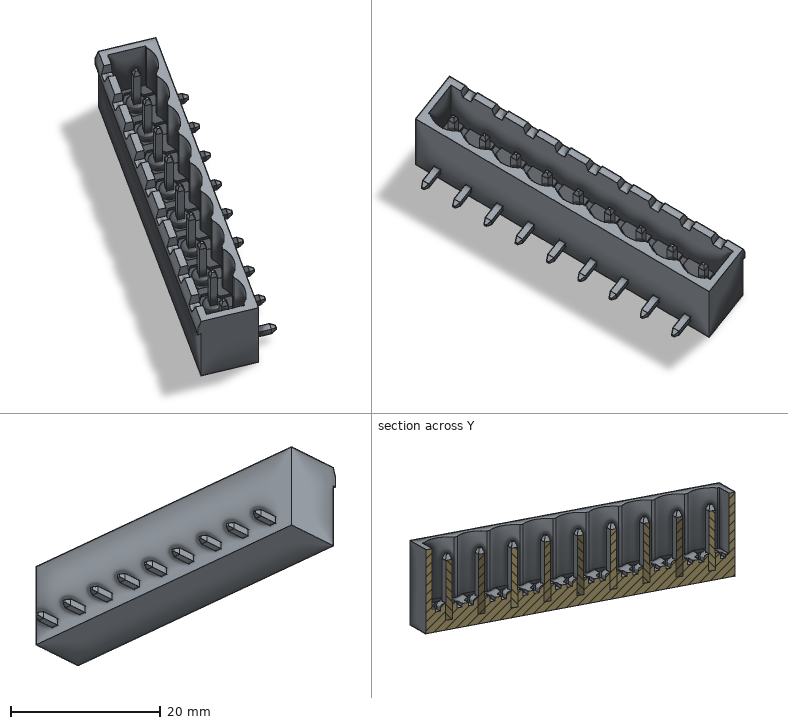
import cadquery as cq

POLES = 9
POLE_SPAN = 40.65
PITCH = POLE_SPAN / (POLES - 1)
POLE_XS = [i * PITCH - POLE_SPAN / 2 for i in range(POLES)]

LENGTH = 47.7
DEPTH = 8.05
HEIGHT = 12.0

RAIL_PROJECTION = 0.45
RAIL_HEIGHT = 2.75
RAIL_BEVEL_HEIGHT = 1.35

END_WALL = 0.95
FRONT_WALL = 1.05
BACK_WALL = 0.85
SCALLOP_RISE = 0.85
SCALLOP_WIDTH = 4.6
FLOOR_Z = 3.4

NOTCH_TOP_WIDTH = 1.95
NOTCH_FLOOR_WIDTH = 1.3
NOTCH_DEPTH = RAIL_BEVEL_HEIGHT

RECESS_DEPTH = 0.5
RECESS_WIDTH = 4.05
RECESS_SIDE_BACK = 0.55
RECESS_SIDE_FRONT = 1.05
BACK_CHANNEL_HALF_WIDTH = 1.05
BACK_CHANNEL_START = 1.4
FRONT_CHANNEL_HALF_WIDTH = 0.5
FRONT_CHANNEL_START = 1.9

BOSS_DIAMETER = 2.75
BOSS_ROUNDING = 0.5
BOSS_HEIGHT = 0.95

PIN_WIDTH = 1.0
PIN_Y = 4.25
PIN_TAIL_Z = 1.95
PIN_TOP_Z = 10.7
PIN_TAIL_LENGTH = 3.5
PIN_TAPER = 0.75
PIN_TIP_WIDTH = 0.4

CAVITY_FRONT_Y = FRONT_WALL
CAVITY_BACK_Y = DEPTH - BACK_WALL
SCALLOP_BASE_Y = CAVITY_BACK_Y - SCALLOP_RISE
CAVITY_HALF_LENGTH = LENGTH / 2 - END_WALL
RECESS_Z = FLOOR_Z - RECESS_DEPTH
PIN_TAIL_Y = DEPTH + PIN_TAIL_LENGTH


def make_block():
    """Housing block with its bevelled latching rail, as one side profile."""
    profile = [
        (0, 0),
        (DEPTH, 0),
        (DEPTH, HEIGHT),
        (0, HEIGHT),
        (-RAIL_PROJECTION, HEIGHT - RAIL_BEVEL_HEIGHT),
        (-RAIL_PROJECTION, HEIGHT - RAIL_HEIGHT),
        (0, HEIGHT - RAIL_HEIGHT),
    ]
    return cq.Workplane("YZ").polyline(profile).close().extrude(LENGTH / 2, both=True)


def make_cavity():
    """Open-topped cavity whose back wall has one shallow arc per pole."""
    sketch = (
        cq.Workplane("XY", origin=(0, 0, FLOOR_Z))
        .moveTo(-CAVITY_HALF_LENGTH, CAVITY_FRONT_Y)
        .lineTo(-CAVITY_HALF_LENGTH, SCALLOP_BASE_Y)
    )
    for x in POLE_XS:
        sketch = sketch.lineTo(x - SCALLOP_WIDTH / 2, SCALLOP_BASE_Y).threePointArc(
            (x, CAVITY_BACK_Y), (x + SCALLOP_WIDTH / 2, SCALLOP_BASE_Y)
        )
    sketch = sketch.lineTo(CAVITY_HALF_LENGTH, SCALLOP_BASE_Y).lineTo(CAVITY_HALF_LENGTH, CAVITY_FRONT_Y)
    return sketch.close().extrude(HEIGHT - FLOOR_Z)


def make_notch(x):
    """Tapered notch through the front wall and the rail."""
    profile = [
        (x - NOTCH_TOP_WIDTH / 2, HEIGHT),
        (x + NOTCH_TOP_WIDTH / 2, HEIGHT),
        (x + NOTCH_FLOOR_WIDTH / 2, HEIGHT - NOTCH_DEPTH),
        (x - NOTCH_FLOOR_WIDTH / 2, HEIGHT - NOTCH_DEPTH),
    ]
    return (
        cq.Workplane("XZ", origin=(0, CAVITY_FRONT_Y, 0))
        .polyline(profile)
        .close()
        .extrude(CAVITY_FRONT_Y + RAIL_PROJECTION)
    )


def make_floor_recess(x):
    """Eight-sided floor recess with a channel to the back wall and one to the front wall."""
    right_side = [
        (FRONT_CHANNEL_HALF_WIDTH, CAVITY_FRONT_Y),
        (FRONT_CHANNEL_HALF_WIDTH, PIN_Y - FRONT_CHANNEL_START),
        (RECESS_WIDTH / 2, PIN_Y - RECESS_SIDE_FRONT),
        (RECESS_WIDTH / 2, PIN_Y + RECESS_SIDE_BACK),
        (BACK_CHANNEL_HALF_WIDTH, PIN_Y + BACK_CHANNEL_START),
        (BACK_CHANNEL_HALF_WIDTH, CAVITY_BACK_Y),
    ]
    left_side = [(-dx, y) for dx, y in reversed(right_side)]
    outline = [(x + dx, y) for dx, y in right_side + left_side]
    return cq.Workplane("XY", origin=(0, 0, RECESS_Z)).polyline(outline).close().extrude(RECESS_DEPTH)


def make_boss(x):
    """Round boss with a rounded rim, standing on the recess floor."""
    return (
        cq.Workplane("XY", origin=(x, PIN_Y, RECESS_Z))
        .circle(BOSS_DIAMETER / 2)
        .extrude(BOSS_HEIGHT)
        .faces(">Z")
        .edges()
        .fillet(BOSS_ROUNDING)
    )


def make_tip(plane):
    """Four-sided taper from the full pin section down to the tip."""
    return (
        plane.rect(PIN_WIDTH, PIN_WIDTH)
        .workplane(offset=PIN_TAPER)
        .rect(PIN_TIP_WIDTH, PIN_TIP_WIDTH)
        .loft()
    )


def make_pin(x):
    """Right-angled square pin: upright contact, horizontal tail, both ends tapered."""
    half = PIN_WIDTH / 2
    upright_top = PIN_TOP_Z - PIN_TAPER
    tail_end = PIN_TAIL_Y - PIN_TAPER
    profile = [
        (PIN_Y - half, PIN_TAIL_Z - half),
        (tail_end, PIN_TAIL_Z - half),
        (tail_end, PIN_TAIL_Z + half),
        (PIN_Y + half, PIN_TAIL_Z + half),
        (PIN_Y + half, upright_top),
        (PIN_Y - half, upright_top),
    ]
    bent_bar = cq.Workplane("YZ", origin=(x, 0, 0)).polyline(profile).close().extrude(half, both=True)
    top_tip = make_tip(cq.Workplane("XY", origin=(x, PIN_Y, upright_top)))
    tail_tip = make_tip(cq.Workplane("ZX", origin=(x, tail_end, PIN_TAIL_Z)))
    return bent_bar.union(top_tip).union(tail_tip)


def make_housing(pins):
    """Housing with its cavity, one pole station per pin, and a fitting hole for each pin."""
    housing = make_block().cut(make_cavity())
    for x in POLE_XS:
        housing = housing.cut(make_notch(x)).cut(make_floor_recess(x)).union(make_boss(x))
    for pin in pins:
        housing = housing.cut(pin)
    return housing


pins = [make_pin(x) for x in POLE_XS]
housing = make_housing(pins)

result = cq.Compound.makeCompound([housing.val(), *[pin.val() for pin in pins]])